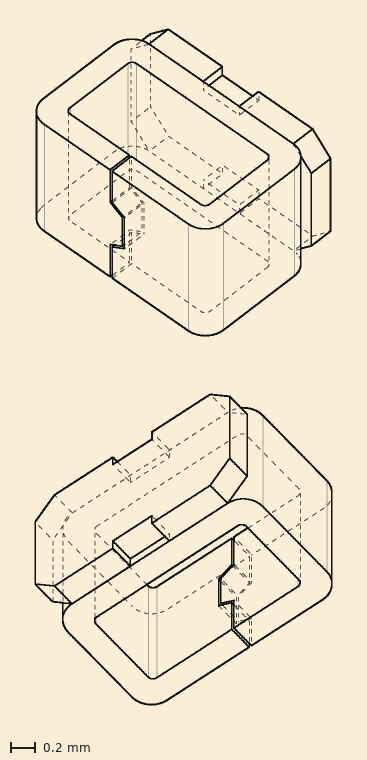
import cadquery as cq
import math

length = 2.0
depth = 1.45
height = 1.25
wall = 0.225

outer_radius = 0.2
inner_radius = 0.05
band_depth = depth - wall

seam_gap = 0.022
seam_left = -0.068
tongue_reach = 0.135
tongue_root_half = 0.248
tongue_slope = math.radians(30)

plate_chamfer = 0.2
notch_width = 0.4
notch_depth = 0.1

front_y = -depth / 2
band_center_y = front_y + band_depth / 2
band_back_y = front_y + band_depth


def rounded_prism(size_x, size_y, radius):
    """Full-height block at the band centre with rounded vertical edges."""
    block = cq.Workplane("XY").box(size_x, size_y, height)
    return block.edges("|Z").fillet(radius).translate((0, band_center_y, 0))


def make_seam():
    """Constant-width gap that steps around the tongue through the front wall."""
    tip_half = tongue_root_half - tongue_reach * math.tan(tongue_slope)
    bend_shift = seam_gap * math.tan((math.pi / 2 - tongue_slope) / 2)
    top = height / 2

    left_upper = [
        (seam_left, top),
        (seam_left, tongue_root_half),
        (seam_left + tongue_reach, tip_half),
    ]
    right_upper = [
        (seam_left + seam_gap, top),
        (seam_left + seam_gap, tongue_root_half + bend_shift),
        (seam_left + tongue_reach + seam_gap, tip_half + bend_shift),
    ]
    left_lower = [(x, -z) for x, z in reversed(left_upper)]
    right_lower = [(x, -z) for x, z in reversed(right_upper)]
    right_upward = list(reversed(right_upper + right_lower))

    outline = left_upper + left_lower + right_upward
    seam = cq.Workplane("XZ").polyline(outline).close().extrude(-wall)
    return seam.translate((0, front_y, 0))


def make_band():
    outer = rounded_prism(length, band_depth, outer_radius)
    opening = rounded_prism(length - 2 * wall, band_depth - 2 * wall, inner_radius)
    return outer.cut(opening).cut(make_seam())


def make_plate():
    """Chamfered strip with a shallow notch in the middle of both long edges."""
    plate = cq.Workplane("XY").box(length, wall, height).edges("|Y").chamfer(plate_chamfer)
    for side in (-1, 1):
        notch_z = side * (height - notch_depth) / 2
        notch = cq.Workplane("XY").box(notch_width, wall, notch_depth)
        plate = plate.cut(notch.translate((0, 0, notch_z)))
    return plate.translate((0, band_back_y + wall / 2, 0))


band = make_band()
plate = make_plate()

result = cq.Compound.makeCompound([band.solids().val(), plate.solids().val()])